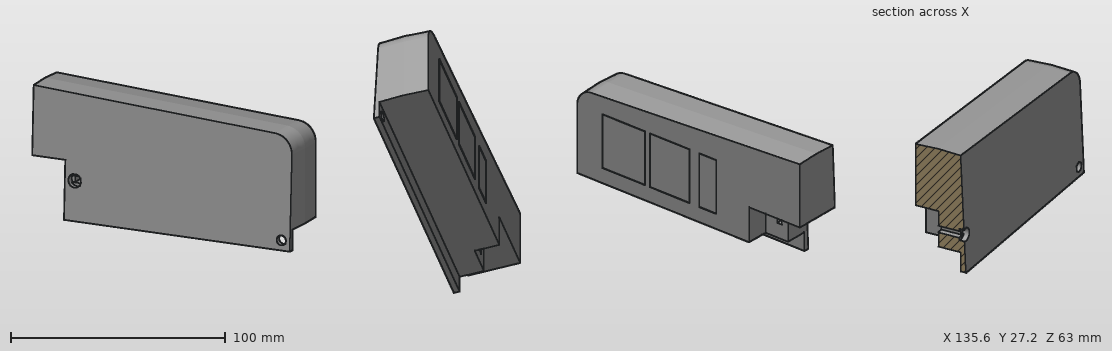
import cadquery as cq
import math

length = 135.6
height = 63.0
back_depth = 12.1
front_depth_bottom = 14.8
front_depth_top = 12.0
edge_draft = 2.5

right_top_height = 55.7
corner_radius = 9.9
notch_length = 17.2
back_notch_length = 30.8
notch_height = 28.8

flange_height = 10.0
flange_back_depth = 12.0

small_hole_x = 130.5
small_hole_z = 4.9
small_hole_diameter = 4.7
large_hole_x = 22.4
large_hole_z = 19.4
large_hole_diameter = 6.5
recess_depth = 2.7
step_depth = 0.8
square_width = 3.0
slot_height = 3.3

pad_spans = [(50.6, 60.9), (66.9, 90.7), (93.7, 119.5)]
pad_bottom = 18.3
pad_top = 46.8
pad_thickness = 0.3

overrun = 13.5


def box(x, y, z):
    """Box given by its (low, high) limits along each axis."""
    size = [high - low for low, high in (x, y, z)]
    return cq.Workplane("XY").box(*size, centered=False).translate((x[0], y[0], z[0]))


def drafted_half(depth):
    """Half housing from the seam toward -Y, tapering all around its outline."""
    top_angle = math.atan((height - right_top_height) / length)
    tangent_length = corner_radius * math.tan((math.pi / 2 - top_angle) / 2)
    arc_start = (
        length - tangent_length * math.cos(top_angle),
        right_top_height + tangent_length * math.sin(top_angle),
    )
    return (
        cq.Workplane("XZ")
        .moveTo(-overrun, -overrun)
        .lineTo(-overrun, height + overrun * math.tan(top_angle))
        .lineTo(*arc_start)
        .radiusArc((length, right_top_height - tangent_length), corner_radius)
        .lineTo(length, -overrun)
        .close()
        .extrude(depth, taper=edge_draft)
    )


def cylinder_along_y(x, z, diameter, y_start, y_end):
    return (
        cq.Workplane("XZ", origin=(0, y_start, 0))
        .center(x, z)
        .circle(diameter / 2)
        .extrude(y_start - y_end)
    )


def body():
    side_profile = (
        cq.Workplane("YZ")
        .polyline([
            (-front_depth_bottom, 0),
            (-flange_back_depth, 0),
            (-flange_back_depth, flange_height),
            (back_depth, flange_height),
            (back_depth, height),
            (-front_depth_top, height),
        ])
        .close()
        .extrude(length)
    )
    halves = drafted_half(front_depth_bottom).union(drafted_half(back_depth).mirror("XZ"))
    notch = box((-overrun, notch_length), (-overrun * 2, overrun * 2), (-overrun, notch_height))
    back_notch = box((-overrun, back_notch_length), (0, overrun * 2), (-overrun, notch_height))
    return halves.intersect(side_profile).cut(notch).cut(back_notch)


def large_hole():
    """Round recess narrowing to a flat-sided slot and then to a rectangular through hole."""
    draft_per_height = (front_depth_bottom - front_depth_top) / height
    face_y = -front_depth_bottom + draft_per_height * large_hole_z
    floor_y = face_y + recess_depth
    slot_z = (large_hole_z - slot_height / 2, large_hole_z + slot_height / 2)
    square_x = (large_hole_x - square_width / 2, large_hole_x + square_width / 2)
    slot_x = (large_hole_x - large_hole_diameter / 2, large_hole_x + large_hole_diameter / 2)
    slot_y = (floor_y, floor_y + step_depth)

    recess = cylinder_along_y(large_hole_x, large_hole_z, large_hole_diameter, -overrun * 2, floor_y)
    slot = cylinder_along_y(large_hole_x, large_hole_z, large_hole_diameter, *slot_y)
    slot = slot.intersect(box(slot_x, slot_y, slot_z))
    through = box(square_x, (floor_y, overrun * 2), slot_z)
    return recess.union(slot).union(through)


def back_pads(part):
    for span in pad_spans:
        pad = box(span, (0, back_depth + pad_thickness), (pad_bottom, pad_top))
        part = part.union(pad)
    return part


result = back_pads(body())
result = result.cut(large_hole())
result = result.cut(
    cylinder_along_y(small_hole_x, small_hole_z, small_hole_diameter, -overrun * 2, 0)
)